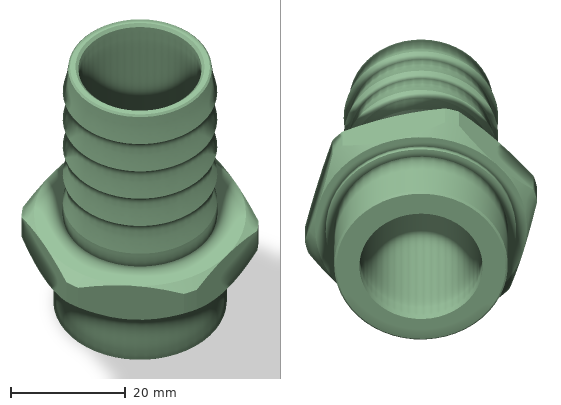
import cadquery as cq
import math

total_height = 56.0
collar_bottom = 11.9
hex_bottom = 12.95
hex_top = 21.0
neck_top = 24.0

spigot_diameter = 30.3
spigot_chamfer = 0.35
collar_diameter = 33.25
bore_diameter = 21.5
bore_chamfer = 0.5

across_flats = 37.0
across_corners = 41.4
upper_bevel_height = 1.25
lower_bevel_height = 2.2

barb_count = 5
barb_pitch = 6.5
lowest_root_height = 29.55
barb_root_diameter = 25.1
barb_tip_diameter = 27.0
barb_underside_height = 1.05
flank_sag = 0.1
rim_chamfer = 0.35

root_radius = barb_root_diameter / 2
tip_radius = barb_tip_diameter / 2
corner_radius = across_corners / 2
bevel_radius = across_flats / 2


def make_spigot():
    spigot = cq.Workplane("XY").circle(spigot_diameter / 2).extrude(collar_bottom)
    spigot = spigot.faces("<Z").edges().chamfer(spigot_chamfer)
    collar = (
        cq.Workplane("XY")
        .workplane(offset=collar_bottom)
        .circle(collar_diameter / 2)
        .extrude(hex_bottom - collar_bottom)
    )
    return spigot.union(collar)


def make_hexagon():
    """Hexagon trimmed by a turned blank that rounds the corners and bevels both ends."""
    sharp_diameter = across_flats / math.cos(math.pi / 6)
    prism = (
        cq.Workplane("XY")
        .workplane(offset=hex_bottom)
        .polygon(6, sharp_diameter)
        .extrude(hex_top - hex_bottom)
    )
    turned_blank = (
        cq.Workplane("XZ")
        .moveTo(0, hex_bottom)
        .lineTo(bevel_radius, hex_bottom)
        .lineTo(corner_radius, hex_bottom + lower_bevel_height)
        .lineTo(corner_radius, hex_top - upper_bevel_height)
        .lineTo(bevel_radius, hex_top)
        .lineTo(0, hex_top)
        .close()
        .revolve(360, (0, 0, 0), (0, 1, 0))
    )
    return prism.intersect(turned_blank)


def make_hose_tail():
    profile = (
        cq.Workplane("XZ")
        .moveTo(0, hex_top)
        .lineTo(tip_radius, hex_top)
        .lineTo(tip_radius, neck_top)
    )
    flank_bottom = neck_top
    for barb in range(barb_count):
        flank_top = lowest_root_height + barb * barb_pitch
        is_top_barb = barb == barb_count - 1
        if is_top_barb:
            flank_top = total_height - rim_chamfer
        middle = (
            (tip_radius + root_radius) / 2 - flank_sag,
            (flank_bottom + flank_top) / 2,
        )
        profile = profile.threePointArc(middle, (root_radius, flank_top))
        if not is_top_barb:
            flank_bottom = flank_top + barb_underside_height
            profile = profile.lineTo(tip_radius, flank_bottom)
    profile = (
        profile.lineTo(root_radius - rim_chamfer, total_height)
        .lineTo(0, total_height)
        .close()
    )
    return profile.revolve(360, (0, 0, 0), (0, 1, 0))


def make_bore():
    """Through bore, opening out in a small chamfer at the hose end."""
    bore_radius = bore_diameter / 2
    return (
        cq.Workplane("XZ")
        .lineTo(bore_radius, 0)
        .lineTo(bore_radius, total_height - bore_chamfer)
        .lineTo(bore_radius + bore_chamfer, total_height)
        .lineTo(0, total_height)
        .close()
        .revolve(360, (0, 0, 0), (0, 1, 0))
    )


result = make_spigot().union(make_hexagon()).union(make_hose_tail()).cut(make_bore())